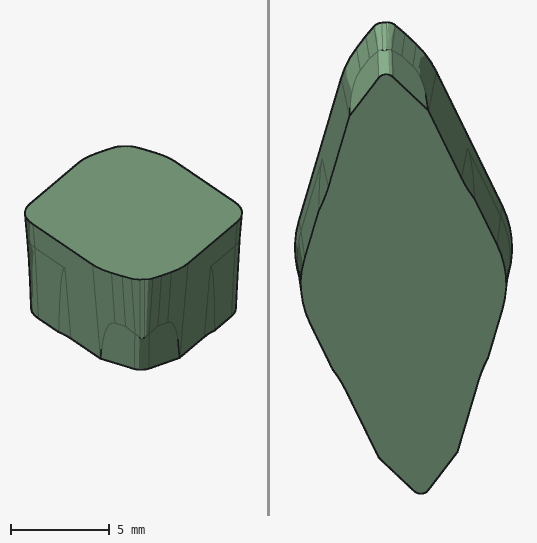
import cadquery as cq
import math


width = 11.0
length = 23.25
height = 5.0
inscribed_radius = width / 2
half_acute_angle = 20.0
wall_draft = 5.0

nose_radius = 0.58
nose_flat = 0.23
wall_end_y = 8.05
edge_break_y = 10.58
side_angle = 20.0
nose_angle = 23.0

relief_top = 2.33
relief_draft = 11.7
relief_tip_radius = 0.5

pad_top = 3.75
pad_draft = 3.0
pad_half_span = 4.05
pad_runout_radius = 6.51
pad_runout_angle = 20.0
pad_overhang = 2.33
pad_wall_overlap = 2.8


def direction(degrees):
    """Unit vector turned from +Y toward +X."""
    angle = math.radians(degrees)
    return cq.Vector(math.sin(angle), math.cos(angle))


def xy(point):
    return point.x, point.y


def mirror_across(point, axis):
    return axis * (2 * point.dot(axis)) - point


def slope(degrees):
    return math.tan(math.radians(degrees))


long_axis = direction(-half_acute_angle)
short_axis = direction(-half_acute_angle - 90)

nose_half_flat = short_axis * (nose_flat / 2)
nose_center_y = length / 2 - nose_radius + nose_half_flat.y
nose_center = cq.Vector(-nose_center_y * slope(half_acute_angle), nose_center_y) + nose_half_flat
nose_tangent = nose_center + direction(nose_angle - 90) * nose_radius
nose_end = nose_center + long_axis * nose_radius
edge_break = cq.Vector(
    nose_tangent.x - (nose_tangent.y - edge_break_y) * slope(nose_angle),
    edge_break_y,
)
wall_end = cq.Vector(-inscribed_radius, wall_end_y)
blend_vertex_y = edge_break_y - (edge_break.x + inscribed_radius) / slope(side_angle)
blend_vertex = cq.Vector(-inscribed_radius, blend_vertex_y)
blend_end = blend_vertex + direction(side_angle) * (blend_vertex_y - wall_end_y)
corner_tangent = cq.Vector(-inscribed_radius, 0)
corner_middle = short_axis * inscribed_radius


def taper_down(sketch, depth, draft, top):
    """Extrude a sketch downward from height `top`, narrowing with the draft."""
    solid = sketch.extrude(depth, taper=draft)
    return solid.mirror("XY").translate((0, 0, top))


def both_ends(solid):
    """The solid and its half-turn copy about Z."""
    return [solid, solid.rotate((0, 0, 0), (0, 0, 1), 180)]


def across_long(point):
    return mirror_across(point, long_axis)


def top_outline():
    outline = cq.Workplane("XY").moveTo(*xy(corner_tangent))
    for turn in (1, -1):
        outline = (
            outline.lineTo(*xy(wall_end * turn))
            .tangentArcPoint(xy(blend_end * turn), relative=False)
            .lineTo(*xy(edge_break * turn))
            .lineTo(*xy(nose_tangent * turn))
            .tangentArcPoint(xy(nose_end * turn), relative=False)
            .lineTo(*xy(across_long(nose_end * turn)))
            .tangentArcPoint(xy(across_long(nose_tangent * turn)), relative=False)
            .lineTo(*xy(across_long(edge_break * turn)))
            .lineTo(*xy(across_long(blend_end * turn)))
            .tangentArcPoint(xy(across_long(wall_end * turn)), relative=False)
            .lineTo(*xy(across_long(corner_tangent * turn)))
            .threePointArc(
                xy(corner_middle * -turn),
                xy(corner_tangent * -turn),
            )
        )
    return outline.close()


def pad_envelope():
    """Plate outline carried down from the pad top at the pad's small draft."""
    inset = (height - pad_top) * slope(wall_draft)
    return taper_down(top_outline().offset2D(-inset), pad_top, pad_draft, pad_top)


def mirrored_xy(point):
    return xy(mirror_across(point, short_axis))


def pad_footprint():
    """Region of one pad, with concave run-outs tangent to the two walls."""
    wall_x = -inscribed_radius + (height - pad_top) * slope(wall_draft)
    start = cq.Vector(wall_x, pad_half_span)
    wall_start = start + cq.Vector(0, pad_wall_overlap)
    arc_center = start + cq.Vector(-pad_runout_radius, 0)
    middle = arc_center + direction(90 + pad_runout_angle / 2) * pad_runout_radius
    end = arc_center + direction(90 + pad_runout_angle) * pad_runout_radius
    outer = end + short_axis * pad_overhang

    sketch = (
        cq.Workplane("XY")
        .moveTo(*xy(wall_start))
        .lineTo(*xy(start))
        .threePointArc(xy(middle), xy(end))
        .lineTo(*xy(outer))
        .lineTo(*mirrored_xy(outer))
        .lineTo(*mirrored_xy(end))
        .threePointArc(mirrored_xy(middle), mirrored_xy(start))
        .lineTo(*mirrored_xy(wall_start))
        .close()
    )
    return sketch


def pad():
    footprint = taper_down(pad_footprint(), pad_top, wall_draft, pad_top)
    return pad_envelope().intersect(footprint)


def relief_envelope():
    """Blunt rhombus whose four drafted faces trim the lower acute tips."""
    normal = direction(side_angle - 90)
    inset = (height - relief_top) * (slope(wall_draft) - slope(relief_draft))
    face_distance = blend_end.dot(normal) - inset
    half_angle = math.radians(half_acute_angle + side_angle)
    tip = long_axis * (face_distance / math.sin(half_angle))
    side = short_axis * (face_distance / math.cos(half_angle))
    corners = [xy(corner) for corner in (tip, side, tip * -1, side * -1)]
    sketch = cq.Workplane("XY").polyline(corners).close()
    envelope = taper_down(sketch, height, relief_draft, height)
    tip_edges = envelope.edges("not #Z").edges(">Y or <Y")
    return tip_edges.fillet(relief_tip_radius)


plate = taper_down(top_outline(), height, wall_draft, height)
result = plate.intersect(relief_envelope())
for corner_pad in both_ends(pad()):
    result = result.union(corner_pad)